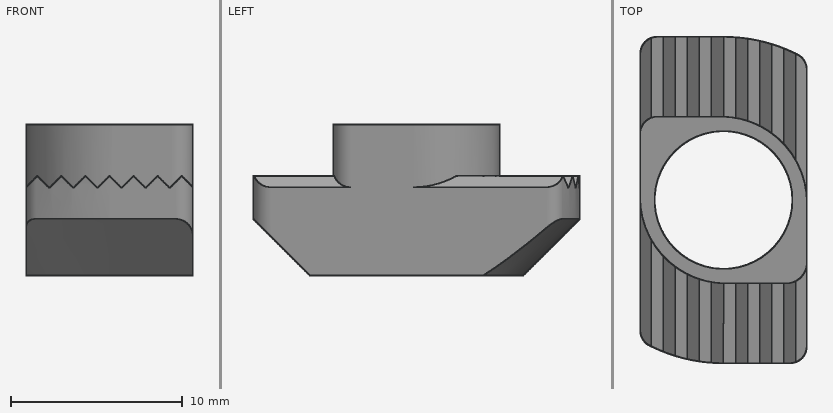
import math
import cadquery as cq

width = 9.7
length = 19.0
height = 8.8

corner_radius = 1.0
end_radius = length / 2
slope_height = 3.3
crest_height = 5.8

tooth_pitch = 1.4
tooth_depth = tooth_pitch / 2
crests_per_side = 3

collar_arc_radius = 5.0
collar_front_corner_radius = 1.2
collar_back_corner_radius = 1.0
bore_diameter = 8.0

half_width = width / 2
half_length = length / 2
valley_height = crest_height - tooth_depth


def unmoved(point):
    """Leave a point where it is."""
    return point


def half_turned(point):
    """Turn a point half a revolution about the bore axis."""
    return (-point[0], -point[1])


def on_circle(centre, radius, angle):
    """Point on a circle, with the angle in degrees."""
    turn = math.radians(angle)
    return (centre[0] + radius * math.cos(turn), centre[1] + radius * math.sin(turn))


def corner_arc(half_y, radius):
    """Points of the rounded corner at +X -Y, from the end face to the side."""
    centre = (half_width - radius, radius - half_y)
    return [on_circle(centre, radius, angle) for angle in (-90, -45, 0)]


def base_prism():
    """Upright base: each end is half straight and half rounded."""
    end_middle = (0, -half_length)
    corner_start, corner_middle, corner_end = corner_arc(half_length, corner_radius)

    blend_x = half_width - corner_radius
    blend_distance = end_radius - corner_radius
    blend_centre = (blend_x, math.sqrt(blend_distance**2 - blend_x**2))
    blend_angle = math.degrees(math.acos(blend_x / blend_distance))
    side_end = (half_width, blend_centre[1])
    blend_middle = on_circle(blend_centre, corner_radius, blend_angle / 2)
    blend_end = on_circle((0, 0), end_radius, blend_angle)
    end_arc_middle = on_circle((0, 0), end_radius, (blend_angle + 90) / 2)

    outline = cq.Workplane("XY").moveTo(*end_middle)
    for place in (unmoved, half_turned):
        outline = (
            outline.lineTo(*place(corner_start))
            .threePointArc(place(corner_middle), place(corner_end))
            .lineTo(*place(side_end))
            .threePointArc(place(blend_middle), place(blend_end))
            .threePointArc(place(end_arc_middle), place(half_turned(end_middle)))
        )
    return outline.close().extrude(crest_height)


def underside_envelope():
    """Space above the slopes: conical below the rounded ends, flat below the straight ends."""
    profile = [
        (0, 0),
        (half_length - slope_height, 0),
        (half_length, slope_height),
        (half_length, crest_height),
        (0, crest_height),
    ]
    envelope = cq.Workplane("XZ").polyline(profile).close().revolve(360, (0, 0, 0), (0, 1, 0))
    straight_quarter = cq.Workplane("YZ").polyline(profile).close().extrude(-half_width)
    opposite_quarter = straight_quarter.rotate((0, 0, 0), (0, 0, 1), 180)
    return envelope.union(straight_quarter).union(opposite_quarter)


def tooth_grooves():
    """V grooves between the crests, along the full length."""
    grooves = cq.Workplane("XY")
    for index in range(-crests_per_side - 1, crests_per_side + 1):
        left_crest = index * tooth_pitch
        groove = (
            cq.Workplane("XZ")
            .moveTo(left_crest, crest_height)
            .lineTo(left_crest + tooth_pitch / 2, valley_height)
            .lineTo(left_crest + tooth_pitch, crest_height)
            .close()
            .extrude(half_length, both=True)
        )
        grooves = grooves.add(groove)
    return grooves.combine()


def collar():
    """Square collar with two large rounded corners and two small ones."""
    arc_offset = collar_arc_radius - half_width
    arc_centre = (-arc_offset, -arc_offset)
    arc_start, arc_middle, arc_end = (
        on_circle(arc_centre, collar_arc_radius, angle) for angle in (0, 45, 90)
    )
    corners = (
        (unmoved, collar_front_corner_radius),
        (half_turned, collar_back_corner_radius),
    )

    outline = cq.Workplane("XY", origin=(0, 0, slope_height)).moveTo(*half_turned(arc_end))
    for place, radius in corners:
        corner_start, corner_middle, corner_end = corner_arc(half_width, radius)
        outline = (
            outline.lineTo(*place(corner_start))
            .threePointArc(place(corner_middle), place(corner_end))
            .lineTo(*place(arc_start))
            .threePointArc(place(arc_middle), place(arc_end))
        )
    return outline.close().extrude(height - slope_height)


base = base_prism().intersect(underside_envelope()).cut(tooth_grooves())
bore = cq.Workplane("XY").circle(bore_diameter / 2).extrude(height)
result = base.union(collar()).cut(bore)